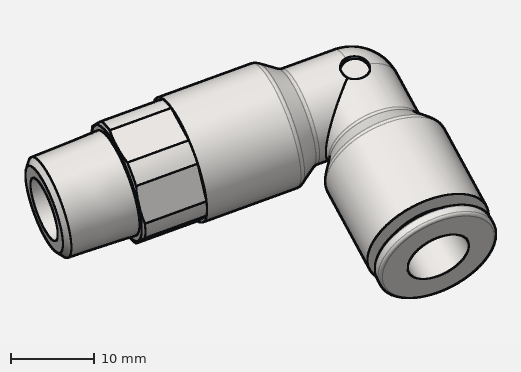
import cadquery as cq


elbow_radius = 6.15
sleeve_radius = 8.0
bore_radius = 4.05
cone_start = 7.3
cone_end = 9.95
sleeve_end = 22.62
cone_blend = 0.95

socket_end = 25.65
collar_thickness = 1.7
collar_start = socket_end - collar_thickness
collar_radius = 7.75
collar_edge_fillet = 0.4
collar_neck_radius = 5.6

stem_end = 40.55
hex_end = 30.97
hex_across_flats = 15.05
hex_corner_radius = 7.95
hex_chamfer_width = 0.55
hex_chamfer_height = 0.25
thread_start_radius = 6.75
thread_end_radius = 6.45
tip_radius = 5.6
tip_chamfer_height = 0.75

recess_radius = 1.8
recess_offset = 0.45
recess_floor = 5.3


def socket_rod(radius, start, end):
    """Cylinder around the X axis between two stations."""
    return cq.Workplane("YZ", origin=(start, 0, 0)).circle(radius).extrude(end - start)


def stem_rod(radius, start, end):
    """Cylinder around the Y axis, between two stations counted towards -Y."""
    return cq.Workplane("XZ", origin=(0, -start, 0)).circle(radius).extrude(end - start)


def elbow_bend(radius, socket_length, stem_length):
    """Two crossing rods closed by a sphere at the outer corner."""
    ball = cq.Workplane("XY").sphere(radius)
    return ball.union(socket_rod(radius, 0, socket_length)).union(stem_rod(radius, 0, stem_length))


def stem_sleeve():
    """Sleeve around the Y axis with a blended cone down to the elbow radius."""
    sleeve = (
        cq.Workplane("XY")
        .polyline([
            (0, 0),
            (elbow_radius, 0),
            (elbow_radius, -cone_start),
            (sleeve_radius, -cone_end),
            (sleeve_radius, -sleeve_end),
            (0, -sleeve_end),
        ])
        .close()
        .revolve(360, (0, 0, 0), (0, 1, 0))
    )
    margin = cone_blend / 2
    reach = 2 * sleeve_radius
    around_cone = cq.selectors.BoxSelector(
        (-reach, -cone_end - margin, -reach),
        (reach, -cone_start + margin, reach),
    )
    return sleeve.edges(around_cone).edges("%CIRCLE").fillet(cone_blend)


def socket_sleeve():
    """The same sleeve turned onto the X axis."""
    return stem_sleeve().rotate((0, 0, 0), (0, 0, 1), 90)


def release_collar():
    neck = socket_rod(collar_neck_radius, sleeve_end, collar_start)
    flange = socket_rod(collar_radius, collar_start, socket_end).edges().fillet(collar_edge_fillet)
    return neck.union(flange)


def hexagon():
    """Hexagon with flats facing +Z and -Z, its corners rounded, and chamfered at its end."""
    blank = stem_rod(hex_corner_radius, sleeve_end, hex_end)
    blank = blank.faces("<Y").edges().chamfer(hex_chamfer_height, hex_chamfer_width)
    slab = (
        cq.Workplane("XZ", origin=(0, -sleeve_end, 0))
        .rect(4 * hex_corner_radius, hex_across_flats)
        .extrude(hex_end - sleeve_end)
    )
    for angle in (0, 60, 120):
        blank = blank.intersect(slab.rotate((0, 0, 0), (0, 1, 0), angle))
    return blank


def thread():
    """Tapered thread envelope with a chamfered tip."""
    return (
        cq.Workplane("XY")
        .polyline([
            (0, -hex_end),
            (thread_start_radius, -hex_end),
            (thread_end_radius, -stem_end + tip_chamfer_height),
            (tip_radius, -stem_end),
            (0, -stem_end),
        ])
        .close()
        .revolve(360, (0, 0, 0), (0, 1, 0))
    )


def logo_recess():
    return (
        cq.Workplane("XY", origin=(0, recess_offset, recess_floor))
        .circle(recess_radius)
        .extrude(elbow_radius)
    )


result = (
    elbow_bend(elbow_radius, cone_start, cone_start)
    .union(stem_sleeve())
    .union(socket_sleeve())
    .union(release_collar())
    .union(hexagon())
    .union(thread())
    .cut(elbow_bend(bore_radius, socket_end, stem_end))
    .cut(logo_recess())
)